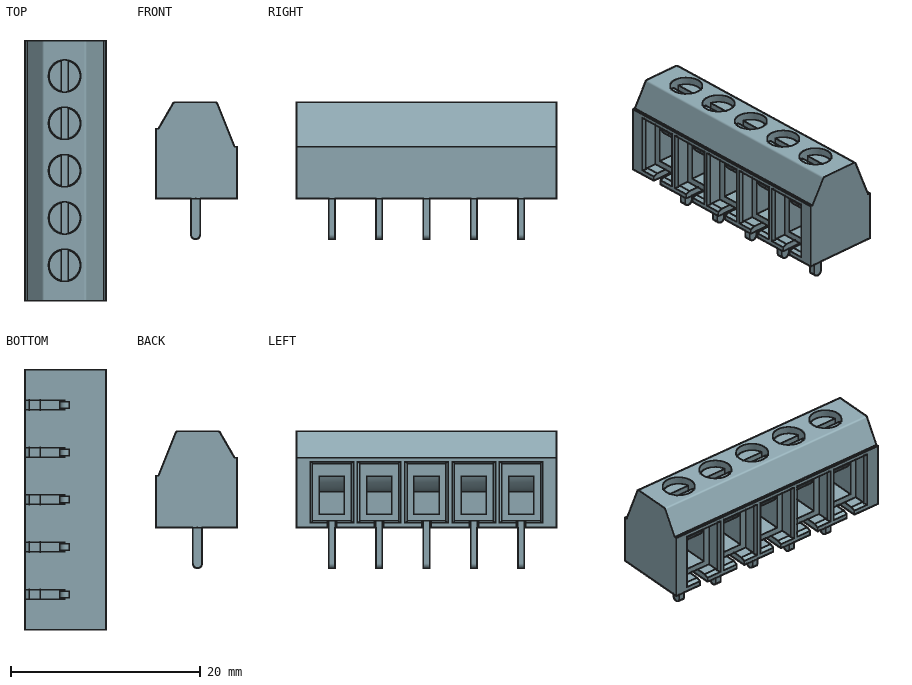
import cadquery as cq
import math


length = 27.5
depth = 8.6
height = 10.2
wire_shoulder_height = 7.4
rear_shoulder_height = 5.5
shoulder_width = 0.28
wire_slope_angle = 30.0
rear_slope_angle = 21.8
top_edge_radius = 0.28

pole_count = 5
pitch = length / (pole_count + 0.5)
pole_axis_x = 4.2
pole_positions = [(i - (pole_count - 1) / 2) * pitch for i in range(pole_count)]

screw_hole_diameter = 3.4
screw_diameter = 3.3
screw_recess = 0.8
slot_width = 0.75
slot_depth = 0.82

mouth_width = 4.6
mouth_bottom = 0.52
mouth_top = 6.95
pocket_depth = 1.65
side_bevel_width = 0.25
side_bevel_depth = 0.28
sill_bevel_height = 0.2
sill_bevel_depth = 0.5

chamber_width = 2.67
chamber_bottom = 1.4
chamber_top = 5.47
clamp_radius = 2.8
clamp_bottom = 3.8

pin_depth = 1.0
pin_width = 0.7
pin_length = 4.3
notch_width = 1.02


def make_housing():
    wire_top_x = shoulder_width + (height - wire_shoulder_height) * math.tan(math.radians(wire_slope_angle))
    rear_run = (height - rear_shoulder_height) * math.tan(math.radians(rear_slope_angle))
    rear_top_x = depth - shoulder_width - rear_run
    outline = [
        (0, 0),
        (depth, 0),
        (depth, rear_shoulder_height),
        (depth - shoulder_width, rear_shoulder_height),
        (rear_top_x, height),
        (wire_top_x, height),
        (shoulder_width, wire_shoulder_height),
        (0, wire_shoulder_height),
    ]
    block = cq.Workplane("XZ").polyline(outline).close().extrude(length / 2, both=True)
    return block.faces(">Z").edges("|Y").fillet(top_edge_radius)


def make_screw_recess():
    """Ring-shaped cut around a screw head, the space above the head and its driver slot."""
    hole_floor = height - screw_recess - slot_depth
    hole = (
        cq.Workplane("XY", origin=(pole_axis_x, 0, hole_floor))
        .circle(screw_hole_diameter / 2)
        .extrude(height - hole_floor)
    )
    head = (
        cq.Workplane("XY", origin=(pole_axis_x, 0, hole_floor))
        .circle(screw_diameter / 2)
        .extrude(slot_depth)
    )
    slot = (
        cq.Workplane("XY", origin=(pole_axis_x, 0, hole_floor))
        .rect(slot_width, screw_diameter)
        .extrude(slot_depth)
    )
    return hole.cut(head.cut(slot))


def make_pocket():
    """Wire-entry pocket with a mouth bevelled on all four sides."""
    half_mouth = mouth_width / 2
    half_pocket = half_mouth - side_bevel_width
    plan = [
        (0, -half_mouth),
        (side_bevel_depth, -half_pocket),
        (pocket_depth, -half_pocket),
        (pocket_depth, half_pocket),
        (side_bevel_depth, half_pocket),
        (0, half_mouth),
    ]
    floor = mouth_bottom + sill_bevel_height
    ceiling = mouth_top - sill_bevel_height
    section = [
        (0, mouth_bottom),
        (sill_bevel_depth, floor),
        (pocket_depth, floor),
        (pocket_depth, ceiling),
        (sill_bevel_depth, ceiling),
        (0, mouth_top),
    ]
    plan_prism = cq.Workplane("XY").polyline(plan).close().extrude(height)
    section_prism = cq.Workplane("XZ").polyline(section).close().extrude(half_mouth, both=True)
    return plan_prism.intersect(section_prism)


def make_chamber():
    """Clamp chamber, centred on the screw, with the round clamp face bulging down from its roof."""
    chamber = (
        cq.Workplane("XY", origin=(pole_axis_x, 0, chamber_bottom))
        .rect(2 * (pole_axis_x - pocket_depth), chamber_width)
        .extrude(chamber_top - chamber_bottom)
    )
    clamp = (
        cq.Workplane("XZ", origin=(pole_axis_x, 0, clamp_bottom + clamp_radius))
        .circle(clamp_radius)
        .extrude(chamber_width, both=True)
    )
    return chamber.cut(clamp)


def make_notch():
    """Notch through the sill, running from the wire side back to the pin axis."""
    notch_height = mouth_bottom + sill_bevel_height
    return cq.Workplane("XY").box(pole_axis_x, notch_width, notch_height, centered=(False, True, False))


def make_pin():
    """Flat pin with a fully rounded tip, rooted in the housing above the notch."""
    root_z = chamber_bottom
    tip_radius = pin_depth / 2
    return (
        cq.Workplane("XZ", origin=(pole_axis_x, 0, 0))
        .moveTo(-tip_radius, root_z)
        .lineTo(-tip_radius, tip_radius - pin_length)
        .threePointArc((0, -pin_length), (tip_radius, tip_radius - pin_length))
        .lineTo(tip_radius, root_z)
        .close()
        .extrude(pin_width / 2, both=True)
    )


pole_cut = make_screw_recess().union(make_pocket()).union(make_chamber()).union(make_notch())
pin = make_pin()

result = make_housing()
for y in pole_positions:
    result = result.cut(pole_cut.translate((0, y, 0)))
    result = result.union(pin.translate((0, y, 0)))